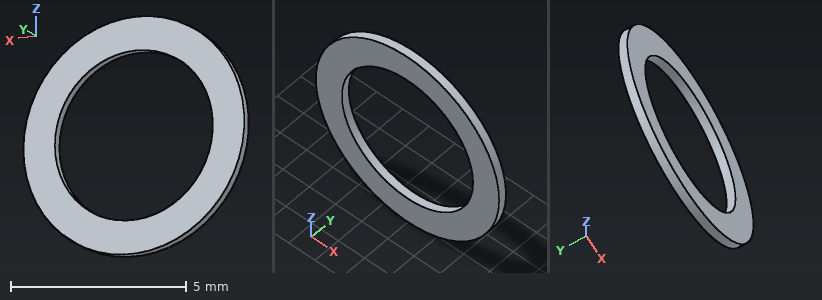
import cadquery as cq

outer_diameter = 7.0
inner_diameter = 5.0
thickness = 0.3

result = (
    cq.Workplane("XZ")
    .workplane(offset=-thickness / 2)
    .circle(outer_diameter / 2)
    .circle(inner_diameter / 2)
    .extrude(thickness)
)